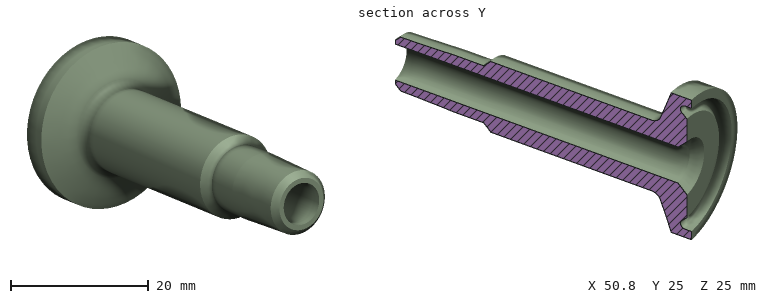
import cadquery as cq
import math

LENGTH = 50.8

FLANGE_RADIUS = 25.0 / 2
RIM_WIDTH = 3.55
BACK_ANGLE = math.radians(20)
NECK_FILLET = 1.6

BODY_RADIUS = 12.7 / 2
BODY_END = 34.45
STUB_RADIUS = 10.25 / 2
TAPER_START = 40.75
TAPER_PER_SIDE = 1 / 32
TIP_CHAMFER = 0.9

BORE_RADIUS = 6.35 / 2
MOUTH_RADIUS = 9.45 / 2

FACE_DEPTH = 0.8
FACE_RADIUS = 17.6 / 2
GROOVE_RADIUS = 21.9 / 2
GROOVE_ROUND = 0.75
GROOVE_SLOPE = math.radians(45)
GROOVE_FOOT_RADIUS = 19.05 / 2


def make_blank():
    """Solid outer shape: flange, filleted neck, body, stub and tapered tip."""
    back_end = RIM_WIDTH + (FLANGE_RADIUS - BODY_RADIUS) * math.tan(BACK_ANGLE)
    fillet_turn = math.pi / 2 - BACK_ANGLE
    tangent = NECK_FILLET * math.tan(fillet_turn / 2)
    fillet_center = (back_end + tangent, BODY_RADIUS + NECK_FILLET)
    fillet_start = (
        back_end - tangent * math.sin(BACK_ANGLE),
        BODY_RADIUS + tangent * math.cos(BACK_ANGLE),
    )
    fillet_middle = (
        fillet_center[0] - NECK_FILLET * math.sin(fillet_turn / 2),
        fillet_center[1] - NECK_FILLET * math.cos(fillet_turn / 2),
    )
    fillet_end = (fillet_center[0], BODY_RADIUS)

    shoulder = BODY_RADIUS - STUB_RADIUS
    tip_start = LENGTH - TIP_CHAMFER
    tip_radius = STUB_RADIUS - (tip_start - TAPER_START) * TAPER_PER_SIDE

    profile = (
        cq.Workplane("XY")
        .moveTo(0, 0)
        .lineTo(0, FLANGE_RADIUS)
        .lineTo(RIM_WIDTH, FLANGE_RADIUS)
        .lineTo(*fillet_start)
        .threePointArc(fillet_middle, fillet_end)
        .lineTo(BODY_END, BODY_RADIUS)
        .lineTo(BODY_END + shoulder, STUB_RADIUS)
        .lineTo(TAPER_START, STUB_RADIUS)
        .lineTo(tip_start, tip_radius)
        .lineTo(LENGTH, tip_radius - TIP_CHAMFER)
        .lineTo(LENGTH, 0)
        .close()
    )
    return profile.revolve(360, (0, 0, 0), (1, 0, 0))


def make_face_cut():
    """Recess in the flange face together with the rounded gasket groove."""
    foot_depth = FACE_DEPTH + (GROOVE_FOOT_RADIUS - FACE_RADIUS) / math.tan(GROOVE_SLOPE)
    center_radius = GROOVE_RADIUS - GROOVE_ROUND
    foot_offset = center_radius - GROOVE_FOOT_RADIUS
    center_depth = foot_depth - math.sqrt(GROOVE_ROUND**2 - foot_offset**2)

    profile = (
        cq.Workplane("XY")
        .moveTo(0, 0)
        .lineTo(FACE_DEPTH, 0)
        .lineTo(FACE_DEPTH, FACE_RADIUS)
        .lineTo(foot_depth, GROOVE_FOOT_RADIUS)
        .threePointArc(
            (center_depth + GROOVE_ROUND, center_radius),
            (center_depth, GROOVE_RADIUS),
        )
        .lineTo(0, GROOVE_RADIUS)
        .close()
    )
    return profile.revolve(360, (0, 0, 0), (1, 0, 0))


def make_bore():
    """Through bore with a 45 degree mouth opening onto the recessed face."""
    mouth_end = FACE_DEPTH + MOUTH_RADIUS - BORE_RADIUS
    profile = (
        cq.Workplane("XY")
        .moveTo(FACE_DEPTH, 0)
        .lineTo(FACE_DEPTH, MOUTH_RADIUS)
        .lineTo(mouth_end, BORE_RADIUS)
        .lineTo(LENGTH, BORE_RADIUS)
        .lineTo(LENGTH, 0)
        .close()
    )
    return profile.revolve(360, (0, 0, 0), (1, 0, 0))


result = make_blank().cut(make_face_cut()).cut(make_bore())